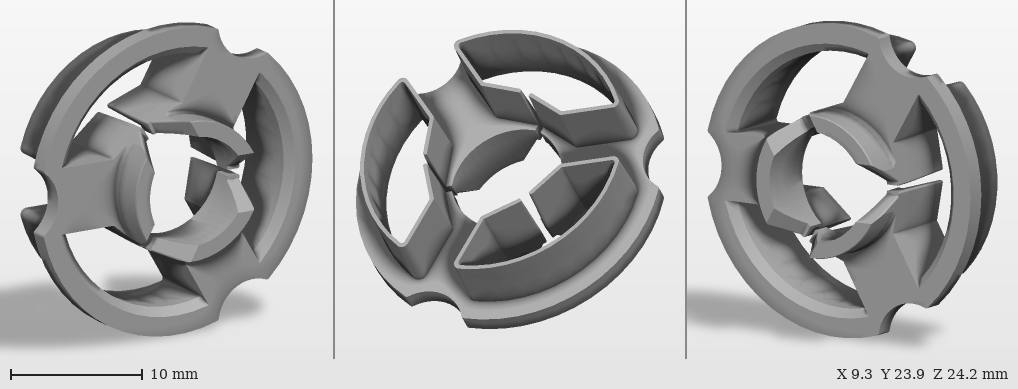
import cadquery as cq
import math


cup_length = 4.8
plate_thickness = 1.5
collar_length = 3.0
plate_start = cup_length
plate_end = plate_start + plate_thickness
collar_end = plate_end + collar_length

plate_radius = 12.1
jaw_radius = 5.0
jaw_shift = 0.8
notch_radius = 3.1
notch_corner_radius = 0.25

cup_radius = 10.55
arm_half_width = 1.98
leg_distance = 4.95
leg_tilt = 10.0
cup_corner_radius = 0.65
rim_thickness = 0.31
draft = 0.157
draft_angle = math.degrees(math.atan2(draft, cup_length))
window_inset = rim_thickness + 2 * draft
window_corner_radius = 0.1
leg_end_radius = 0.15
window_bevel = 0.65

collar_radius = 6.25
collar_foot_length = 0.48
collar_foot_flare = 0.1
collar_tip_length = 0.15
collar_tip_relief = 0.05

slot_half_width = 0.25
collar_gap_half_width = 0.53
collar_gap_angle = 30.0
slot_reach = (leg_distance + cup_radius) / 2

repeat_angles = (0, 120, 240)
spoke_angle = 60


def around_axis(body):
    """Three copies of a body, evenly spaced about X."""
    copies = [body.rotate((0, 0, 0), (1, 0, 0), angle) for angle in repeat_angles]
    return copies[0].union(copies[1]).union(copies[2])


def opening_outline(inset, corner_radius, extra_reach=0):
    """Cup outline centred on +Y, moved inwards by inset; extra_reach moves only its arc back out."""
    spoke = math.radians(spoke_angle)
    tilt = math.radians(leg_tilt)
    radius = cup_radius - inset + extra_reach
    side = arm_half_width + inset
    leg = leg_distance + inset

    def beside_spoke(along):
        return (along * math.cos(spoke) + side * math.sin(spoke),
                along * math.sin(spoke) - side * math.cos(spoke))

    def mirrored(point):
        return (point[0], -point[1])

    outer_corner = beside_spoke(math.sqrt(radius**2 - side**2))
    leg_to_spoke = spoke - tilt
    knee = beside_spoke((leg - side * math.sin(leg_to_spoke)) / math.cos(leg_to_spoke))
    middle = (leg / math.cos(tilt), 0)
    return (
        cq.Sketch()
        .arc(mirrored(outer_corner), (radius, 0), outer_corner)
        .segment(outer_corner, knee)
        .segment(knee, middle)
        .segment(middle, mirrored(knee))
        .segment(mirrored(knee), mirrored(outer_corner))
        .assemble()
        .vertices(">Y or <Y")
        .fillet(corner_radius)
    )


def at_x(x):
    return cq.Workplane("YZ", origin=(x, 0, 0))


def make_plate():
    notch_distance = cup_radius + notch_radius
    disc = at_x(plate_start).circle(plate_radius).extrude(plate_thickness)
    notch = at_x(plate_start).center(-notch_distance, 0).circle(notch_radius).extrude(plate_thickness)
    disc = disc.cut(around_axis(notch))
    return disc.edges("|X").fillet(notch_corner_radius)


def lobed(lobe):
    """Trim a round body about the jaw centre to its third, then repeat it about the axis."""
    half_angle = math.pi / len(repeat_angles)
    sector_reach = 2 * plate_radius
    edge_y = -sector_reach * math.cos(half_angle)
    edge_z = sector_reach * math.sin(half_angle)
    sector = (
        at_x(plate_start)
        .polyline([(0, 0), (edge_y, edge_z), (edge_y, -edge_z)])
        .close()
        .extrude(plate_thickness + collar_length)
    )
    return around_axis(lobe.intersect(sector))


def make_collar():
    """Three arcs with a flared foot and a relieved tip."""
    profile = [
        (plate_end, jaw_shift),
        (plate_end, jaw_shift + collar_radius + collar_foot_flare),
        (plate_end + collar_foot_length, jaw_shift + collar_radius),
        (collar_end - collar_tip_length, jaw_shift + collar_radius),
        (collar_end, jaw_shift + collar_radius - collar_tip_relief),
        (collar_end, jaw_shift),
    ]
    lobe = (
        cq.Workplane("XY")
        .polyline(profile)
        .close()
        .revolve(360, (0, jaw_shift, 0), (1, jaw_shift, 0))
    )
    return lobed(lobe)


def make_bore():
    lobe = at_x(plate_start).center(jaw_shift, 0).circle(jaw_radius).extrude(plate_thickness + collar_length)
    return lobed(lobe)


def make_cup():
    return (
        at_x(plate_start)
        .placeSketch(opening_outline(0, cup_corner_radius))
        .extrude(-cup_length, taper=draft_angle)
    )


def window(start, length, taper=0):
    """Cup cavity from x = start, with a positive taper narrowing it."""
    outline = opening_outline(window_inset, window_corner_radius)
    return at_x(start).placeSketch(outline).extrude(length, taper=taper)


def wedge_slot(start, start_half_width, end, end_half_width):
    """Slot along +Y from the axis into a cup, its half width changing evenly from start to end."""
    return (
        cq.Workplane("XZ")
        .moveTo(start, start_half_width)
        .lineTo(end, end_half_width)
        .lineTo(end, -end_half_width)
        .lineTo(start, -start_half_width)
        .close()
        .extrude(-slot_reach)
    )


def round_leg_ends(opening, widest_gap):
    """Round the lengthwise corners where a slot of the given half width meets the window."""
    corner_zone = cq.selectors.BoxSelector(
        (0, leg_distance, -widest_gap),
        (collar_end, slot_reach, widest_gap),
    )
    return opening.edges(corner_zone).edges("not #X").fillet(leg_end_radius)


def make_cup_opening():
    """Cavity and slot of a cup, both widening towards the rim."""
    cavity = window(plate_start, -cup_length, -draft_angle)
    rim_half_width = slot_half_width + draft
    slot = wedge_slot(0, rim_half_width, plate_start, slot_half_width)
    return round_leg_ends(cavity.union(slot), rim_half_width)


def make_plate_opening():
    slot = wedge_slot(plate_start, slot_half_width, plate_end, slot_half_width)
    return round_leg_ends(window(plate_start, plate_thickness).union(slot), 2 * slot_half_width)


def make_collar_opening():
    """V-shaped gap between two collar thirds, with the window carried on past the collar."""
    tip_half_width = collar_gap_half_width + collar_length * math.tan(math.radians(collar_gap_angle))
    gap = wedge_slot(plate_end, collar_gap_half_width, collar_end, tip_half_width)
    return round_leg_ends(window(plate_end, collar_length).union(gap), tip_half_width)


def make_window_bevel():
    """Bevel of the window's arc edge on the collar side of the plate."""
    window_radius = cup_radius - window_inset
    cone = (
        at_x(plate_end)
        .circle(window_radius + window_bevel)
        .workplane(offset=-window_bevel)
        .circle(window_radius)
        .loft()
    )
    sector = (
        at_x(plate_end)
        .placeSketch(opening_outline(window_inset, window_corner_radius, window_bevel))
        .extrude(-window_bevel)
    )
    return sector.intersect(cone)


result = (
    make_plate()
    .union(make_collar())
    .union(around_axis(make_cup()))
    .cut(make_bore())
    .cut(around_axis(make_cup_opening()))
    .cut(around_axis(make_plate_opening()))
    .cut(around_axis(make_window_bevel()))
    .cut(around_axis(make_collar_opening()))
)